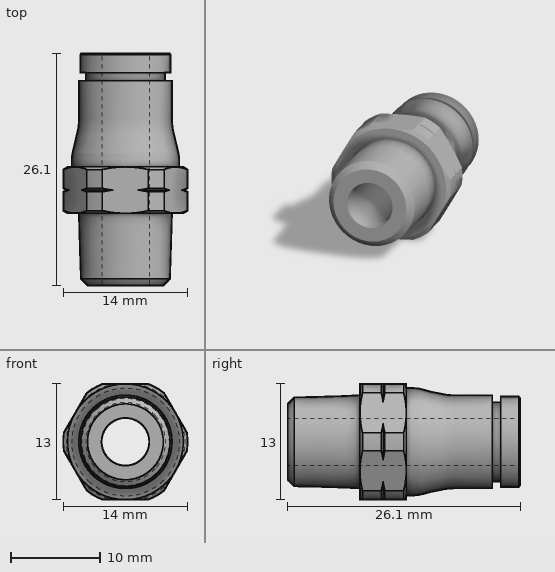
import cadquery as cq
import math

length = 26.1
bore_radius = 2.65

thread_chamfer = 0.75
thread_taper = 1 / 32
thread_root_radius = 5.25

hex_across_flats = 13.0
hex_corner_radius = 7.0
hex_start_y = 8.12
hex_end_y = 13.3
hex_chamfer_height = 0.3
groove_half_width = 0.2
groove_depth = 0.35

flare_radius = 6.05
flare_end_y = 14.02
flare_cone_start_y = 14.88
flare_cone_end_y = 17.25
body_start_y = 18.58
body_radius = 5.25

body_end_y = 23.0
neck_radius = 4.46
collar_start_y = 23.9
collar_radius = 5.1
collar_chamfer = 0.18

flare_slope = (flare_radius - body_radius) / (
    (flare_cone_end_y - flare_cone_start_y)
    + (flare_cone_start_y - flare_end_y + body_start_y - flare_cone_end_y) / 2
)


def blend_middle(start_y, end_y, end_radius, radius_direction):
    """Midpoint of a tangent arc joining a cylinder at end_y to the flare cone at start_y."""
    arc_angle = math.atan(flare_slope)
    arc_radius = abs(end_y - start_y) / math.sin(arc_angle)
    step_y = arc_radius * math.sin(arc_angle / 2)
    step_radius = arc_radius * (1 - math.cos(arc_angle / 2))
    toward_cone = math.copysign(step_y, start_y - end_y)
    return end_radius + radius_direction * step_radius, end_y + toward_cone


def make_turned_body():
    thread_edge_radius = thread_root_radius - thread_taper * (hex_start_y - thread_chamfer)
    half_angle_tangent = math.tan(math.atan(flare_slope) / 2)
    cone_large_radius = flare_radius - (flare_cone_start_y - flare_end_y) * half_angle_tangent
    cone_small_radius = body_radius + (body_start_y - flare_cone_end_y) * half_angle_tangent
    profile = (
        cq.Workplane("XY")
        .moveTo(0, 0)
        .lineTo(thread_edge_radius - thread_chamfer, 0)
        .lineTo(thread_edge_radius, thread_chamfer)
        .lineTo(thread_root_radius, hex_start_y)
        .lineTo(flare_radius, hex_start_y)
        .lineTo(flare_radius, flare_end_y)
        .threePointArc(
            blend_middle(flare_cone_start_y, flare_end_y, flare_radius, -1),
            (cone_large_radius, flare_cone_start_y),
        )
        .lineTo(cone_small_radius, flare_cone_end_y)
        .threePointArc(
            blend_middle(flare_cone_end_y, body_start_y, body_radius, 1),
            (body_radius, body_start_y),
        )
        .lineTo(body_radius, body_end_y)
        .lineTo(neck_radius, body_end_y)
        .lineTo(neck_radius, collar_start_y)
        .lineTo(collar_radius, collar_start_y)
        .lineTo(collar_radius, length - collar_chamfer)
        .lineTo(collar_radius - collar_chamfer, length)
        .lineTo(0, length)
        .close()
    )
    return profile.revolve(360, (0, 0, 0), (0, 1, 0))


def make_hexagon():
    """Hexagon with rounded corners, chamfered ends and a V groove across the corners."""
    face_radius = hex_across_flats / 2
    middle_y = (hex_start_y + hex_end_y) / 2
    envelope = (
        cq.Workplane("XY")
        .moveTo(0, hex_start_y)
        .lineTo(face_radius, hex_start_y)
        .lineTo(hex_corner_radius, hex_start_y + hex_chamfer_height)
        .lineTo(hex_corner_radius, middle_y - groove_half_width)
        .lineTo(hex_corner_radius - groove_depth, middle_y)
        .lineTo(hex_corner_radius, middle_y + groove_half_width)
        .lineTo(hex_corner_radius, hex_end_y - hex_chamfer_height)
        .lineTo(face_radius, hex_end_y)
        .lineTo(0, hex_end_y)
        .close()
        .revolve(360, (0, 0, 0), (0, 1, 0))
    )
    prism = (
        cq.Workplane("XZ", origin=(0, hex_start_y, 0))
        .polygon(6, hex_across_flats / math.cos(math.pi / 6))
        .extrude(hex_start_y - hex_end_y)
    )
    return prism.intersect(envelope)


bore = cq.Workplane("XZ").circle(bore_radius).extrude(-length)
result = make_turned_body().union(make_hexagon()).cut(bore)